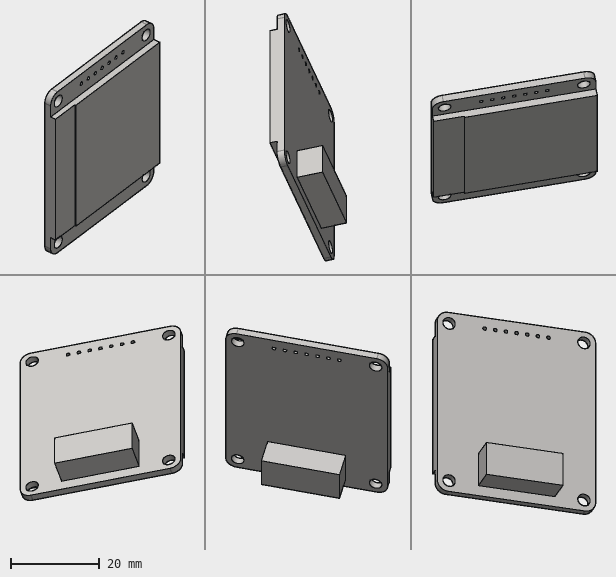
import cadquery as cq

board_thickness = 1.7
board_width = 37.5
board_height = 45.0
corner_radius = 2.5

mount_hole_diameter = 2.9
mount_spacing_y = 31.9
mount_spacing_z = 39.5

pin_hole_diameter = 0.8
pin_count = 7
pin_pitch = 2.5
pin_row_z = mount_spacing_z / 2

connector_depth = 6.0
connector_width = 18.1
connector_height = 8.0
connector_edge_gap = 2.5

display_thickness = 1.7
display_height = 33.8
display_step_depth = 0.3
display_step_width = 7.0


def make_board():
    plate = cq.Workplane("XY").box(
        board_thickness, board_width, board_height, centered=(False, True, True)
    )
    return plate.edges("|X").fillet(corner_radius)


def drill_holes(body):
    mount_holes = (
        cq.Workplane("YZ")
        .rect(mount_spacing_y, mount_spacing_z, forConstruction=True)
        .vertices()
        .circle(mount_hole_diameter / 2)
        .extrude(board_thickness)
    )
    pin_holes = (
        cq.Workplane("YZ")
        .center(0, pin_row_z)
        .rarray(pin_pitch, 0.45, pin_count, 1)
        .circle(pin_hole_diameter / 2)
        .extrude(board_thickness)
    )
    return body.cut(mount_holes).cut(pin_holes)


def make_connector():
    center_z = -board_height / 2 + connector_edge_gap + connector_height / 2
    return (
        cq.Workplane("YZ")
        .center(0, center_z)
        .rect(connector_width, connector_height)
        .extrude(-connector_depth)
    )


def make_display():
    inner_x = board_thickness
    outer_x = inner_x + display_thickness
    step_x = outer_x - display_step_depth
    end_y = board_width / 2
    step_y = -end_y + display_step_width
    return (
        cq.Workplane("XY")
        .workplane(offset=-display_height / 2)
        .moveTo(inner_x, -end_y)
        .lineTo(step_x, -end_y)
        .lineTo(step_x, step_y)
        .lineTo(outer_x, step_y)
        .lineTo(outer_x, end_y)
        .lineTo(inner_x, end_y)
        .close()
        .extrude(display_height)
    )


board = drill_holes(make_board())
result = board.union(make_connector()).union(make_display())